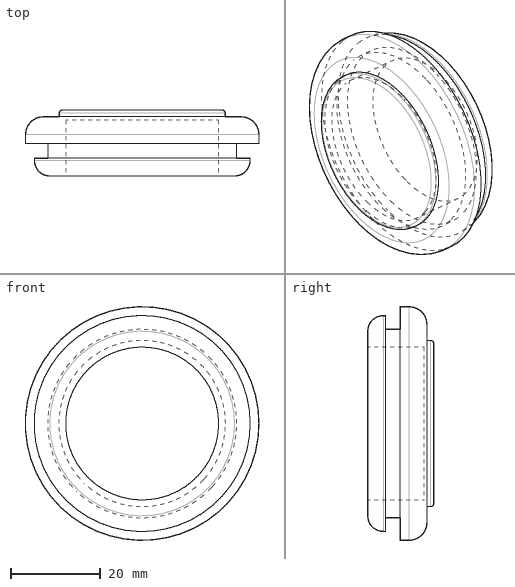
import cadquery as cq

flange_diameter = 52.0
flange_thickness = 6.0
flange_round = 4.0

lip_diameter = 48.05
lip_thickness = 4.0
lip_round = 3.5

neck_diameter = 42.0
neck_length = 3.2

boss_diameter = 37.0
boss_height = 1.5
boss_round = 0.75

recess_diameter = 34.0
recess_depth = 12.5

neck_start = lip_thickness
flange_start = neck_start + neck_length
boss_start = flange_start + flange_thickness


def disc(diameter, length, start):
    """Solid disc about the Y axis, extending toward +Y from the given station."""
    plane = cq.Plane(origin=(0, start, 0), xDir=(1, 0, 0), normal=(0, 1, 0))
    return cq.Workplane(plane).circle(diameter / 2).extrude(length)


lip = disc(lip_diameter, lip_thickness, 0).faces("<Y").edges().fillet(lip_round)
neck = disc(neck_diameter, neck_length, neck_start)
flange = disc(flange_diameter, flange_thickness, flange_start).faces(">Y").edges().fillet(flange_round)
boss = disc(boss_diameter, boss_height, boss_start).faces(">Y").edges().fillet(boss_round)
recess = disc(recess_diameter, recess_depth, 0)

result = lip.union(neck).union(flange).union(boss).cut(recess)